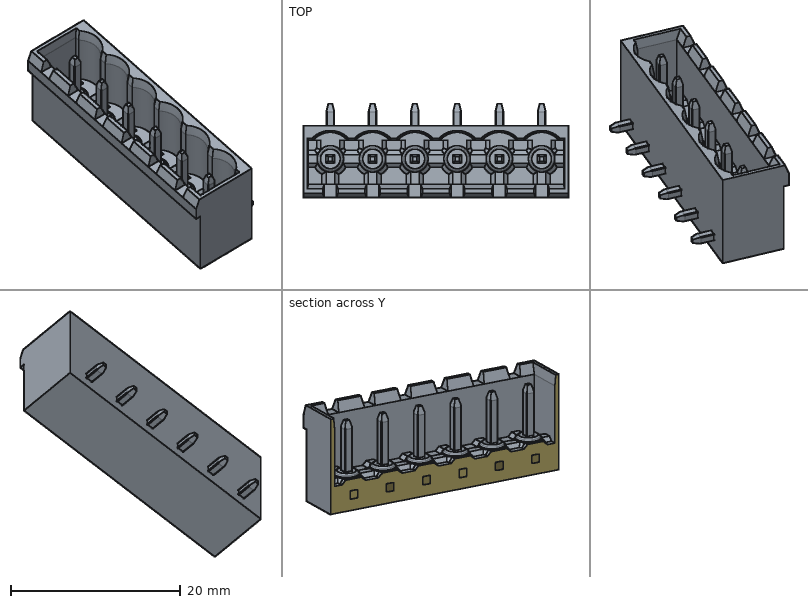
import cadquery as cq

PIN_COUNT = 6
LENGTH = 31.4
END_TO_PIN = 3.2
PIN_PITCH = (LENGTH - 2 * END_TO_PIN) / (PIN_COUNT - 1)
PIN_Y = 4.6
PIN_XS = [END_TO_PIN + i * PIN_PITCH for i in range(PIN_COUNT)]

HEIGHT = 12.0
BACK_Y = 8.5
LIP_OVERHANG = 0.65
LIP_HEIGHT = 3.0
RIM_DEPTH = 1.32
RIM_Z = HEIGHT - RIM_DEPTH
BEVEL_RUN = 0.5

SIDE_WALL = 0.6
SIDE_FLARE = 0.13
CAVITY_FRONT_Y = 1.57
CAVITY_BACK_Y = 6.78
FRONT_FLARE = 0.53
BACK_FLARE = 0.22
PLATEAU_Z = 4.0
STEP = 0.5
FLOOR_Z = PLATEAU_Z - STEP

SCALLOP_Y = 5.02
SCALLOP_RADIUS = 2.7
SCALLOP_FLARE = 0.22
SCALLOP_FRONT_Y = 6.6

RIB_WIDTH = 1.0
BACK_RIB_WIDTH = 2.25
PAD_RADIUS = 1.57
BOSS_WALL = 0.15
BOSS_RADIUS = 1.38
BOSS_TOP_RADIUS = 1.15
BOSS_TOP_HEIGHT = 0.15

NOTCH_FLOOR_WIDTH = 1.45
NOTCH_TOP_WIDTH = 1.82

CONTACT_WIDTH = 1.05
TAIL_WIDTH = 0.97
PIN_TOP_Z = 10.8
PIN_END_Y = 11.1
TAIL_Z = 1.98
TIP_LENGTH = 0.95
TIP_WIDTH = 0.5
PIN_CHAMFER = 0.1


def box(x0, x1, y0, y1, z0, z1):
    """Block between two opposite corners."""
    size = (x1 - x0, y1 - y0, z1 - z0)
    return cq.Workplane("XY").box(*size, centered=False).translate((x0, y0, z0))


def along_x(points, x0, x1):
    """Profile of (y, z) points extruded from x0 to x1."""
    return cq.Workplane("YZ").polyline(points).close().extrude(x1 - x0).translate((x0, 0, 0))


def along_y(points, y0, y1):
    """Profile of (x, z) points extruded from y0 to y1."""
    return cq.Workplane("XZ").polyline(points).close().extrude(y0 - y1).translate((0, y0, 0))


def cone(x, y, z, bottom_radius, top_radius, height):
    """Truncated cone standing on (x, y, z)."""
    return cq.Workplane(cq.Solid.makeCone(bottom_radius, top_radius, height, cq.Vector(x, y, z)))


def rib_profile(center, top_width):
    """Trapezoid with 45 degree flanks, from the cavity floor to the plateau."""
    top = top_width / 2
    foot = top + STEP
    return [
        (center - foot, FLOOR_Z),
        (center + foot, FLOOR_Z),
        (center + top, PLATEAU_Z),
        (center - top, PLATEAU_Z),
    ]


def make_shell():
    """Solid block with the bevelled lip along the front."""
    return along_x(
        [
            (LIP_OVERHANG, 0),
            (BACK_Y, 0),
            (BACK_Y, HEIGHT),
            (BEVEL_RUN, HEIGHT),
            (0, RIM_Z),
            (0, HEIGHT - LIP_HEIGHT),
            (LIP_OVERHANG, HEIGHT - LIP_HEIGHT),
        ],
        0,
        LENGTH,
    )


def make_cavity():
    """Open pocket with a lead-in that flares toward the rim."""
    x0, x1 = SIDE_WALL, LENGTH - SIDE_WALL
    pocket = box(x0, x1, CAVITY_FRONT_Y, CAVITY_BACK_Y, FLOOR_Z, RIM_Z)
    lower_rim = [(x0, CAVITY_FRONT_Y), (x1, CAVITY_FRONT_Y), (x1, CAVITY_BACK_Y), (x0, CAVITY_BACK_Y)]
    flared_front_y = CAVITY_FRONT_Y - FRONT_FLARE
    flared_back_y = CAVITY_BACK_Y + BACK_FLARE
    upper_rim = [
        (x0 - SIDE_FLARE, flared_front_y),
        (x1 + SIDE_FLARE, flared_front_y),
        (x1 + SIDE_FLARE, flared_back_y),
        (x0 - SIDE_FLARE, flared_back_y),
    ]
    lead_in = (
        cq.Workplane("XY", origin=(0, 0, RIM_Z))
        .polyline(lower_rim)
        .close()
        .workplane(offset=RIM_DEPTH)
        .polyline(upper_rim)
        .close()
        .loft(ruled=True)
    )
    return pocket.union(lead_in)


def make_scallop(x):
    """Round bay in the back wall, conical within the lead-in depth."""
    flared_radius = SCALLOP_RADIUS + SCALLOP_FLARE
    bay = cone(x, SCALLOP_Y, RIM_Z, SCALLOP_RADIUS, flared_radius, RIM_DEPTH).union(
        cq.Workplane("XY", origin=(x, SCALLOP_Y, PLATEAU_Z))
        .circle(SCALLOP_RADIUS)
        .extrude(RIM_Z - PLATEAU_Z)
    )
    behind = box(x - flared_radius, x + flared_radius, SCALLOP_FRONT_Y, BACK_Y, PLATEAU_Z, HEIGHT)
    return bay.intersect(behind)


def make_notch(x):
    """Notch through the lip with sides that open upward."""
    floor = NOTCH_FLOOR_WIDTH / 2
    top = NOTCH_TOP_WIDTH / 2
    profile = [(x - floor, RIM_Z), (x + floor, RIM_Z), (x + top, HEIGHT), (x - top, HEIGHT)]
    return along_y(profile, 0, CAVITY_FRONT_Y)


def make_relief():
    """Raised ribs and round pads on the cavity floor."""
    relief = along_x(rib_profile(PIN_Y, RIB_WIDTH), SIDE_WALL, LENGTH - SIDE_WALL)
    rib_end_y = PIN_Y + RIB_WIDTH / 2
    for x in PIN_XS:
        pad = cone(x, PIN_Y, FLOOR_Z, PAD_RADIUS + STEP, PAD_RADIUS, STEP)
        front_rib = along_y(rib_profile(x, RIB_WIDTH), CAVITY_FRONT_Y, rib_end_y)
        back_rib = along_y(rib_profile(x, BACK_RIB_WIDTH), rib_end_y, CAVITY_BACK_Y)
        relief = relief.union(pad).union(front_rib).union(back_rib)
    return relief


def make_boss(x):
    """Round boss around a pin, standing on its pad, with two conical steps."""
    wall_z = PLATEAU_Z + BOSS_WALL
    shoulder_z = wall_z + PAD_RADIUS - BOSS_RADIUS
    top_z = shoulder_z + BOSS_TOP_HEIGHT
    half_section = [
        (0, PLATEAU_Z),
        (PAD_RADIUS, PLATEAU_Z),
        (PAD_RADIUS, wall_z),
        (BOSS_RADIUS, shoulder_z),
        (BOSS_TOP_RADIUS, top_z),
        (0, top_z),
    ]
    return cq.Workplane("XZ").polyline(half_section).close().revolve().translate((x, PIN_Y, 0))


def make_pin_arm(width, length):
    """Square bar along +Z from the origin, with chamfered edges and a tapered tip."""
    shank_length = length - TIP_LENGTH
    bar = cq.Workplane("XY").rect(width, width).extrude(length).edges("|Z").chamfer(PIN_CHAMFER)
    shank = cq.Workplane("XY").rect(width, width).extrude(shank_length)
    tip = (
        cq.Workplane("XY", origin=(0, 0, shank_length))
        .rect(width, width)
        .workplane(offset=TIP_LENGTH)
        .rect(TIP_WIDTH, TIP_WIDTH)
        .loft(ruled=True)
    )
    return bar.intersect(shank.union(tip))


def make_pin(x):
    """Angled pin: an upright contact and a tail that leaves through the back."""
    heel_z = TAIL_Z - TAIL_WIDTH / 2
    contact = make_pin_arm(CONTACT_WIDTH, PIN_TOP_Z - heel_z).translate((x, PIN_Y, heel_z))
    tail = make_pin_arm(TAIL_WIDTH, PIN_END_Y - PIN_Y).rotate((0, 0, 0), (1, 0, 0), -90)
    return contact.union(tail.translate((x, PIN_Y, TAIL_Z)))


def make_housing(pins):
    """Housing with its cavity, floor relief and the channels that hold the pins."""
    housing = make_shell().cut(make_cavity())
    for x in PIN_XS:
        housing = housing.cut(make_scallop(x)).cut(make_notch(x))
    housing = housing.union(make_relief())
    for x in PIN_XS:
        housing = housing.union(make_boss(x))
    for pin in pins:
        housing = housing.cut(pin)
    return housing


pins = [make_pin(x) for x in PIN_XS]
housing = make_housing(pins)

result = cq.Compound.makeCompound([housing.solids().val(), *[pin.solids().val() for pin in pins]])